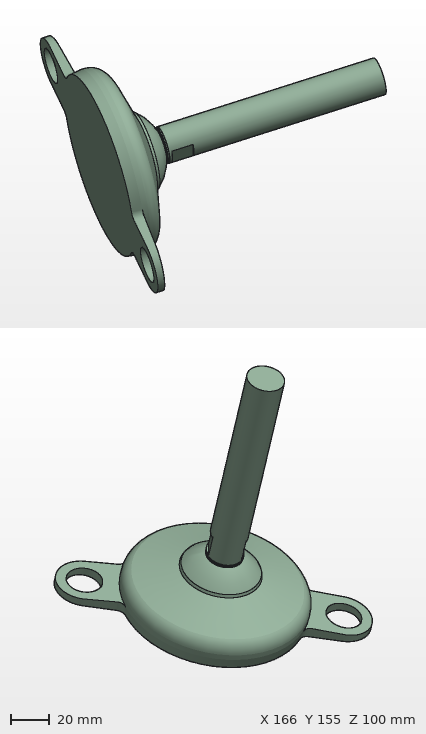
import cadquery as cq

base_radius = 49.1
rim_radius = 50.0
base_height = 5.8
rim_top = 9.0
shoulder_radius = 45.3
shoulder_height = 16.0
shoulder_bulge_radius = 48.5
shoulder_bulge_height = 13.1
cone_top_radius = 21.7
cone_top_height = 23.7
seat_radius = 21.0
seat_height = 25.4

overall_length = 166.0
ear_radius = 15.1
ear_hole_diameter = 19.0
ear_tip_height = 3.8
ear_root_fillet = 4.6
ear_center = overall_length / 2 - ear_radius

stem_radius = 10.0
stem_top = 155.0
ball_bulge_radius = 16.8
ball_bulge_height = 29.7
ball_top_radius = 9.5
ball_top_height = 33.7
lip_radius = 9.8
lip_bottom = 34.0
groove_radius = 9.5
groove_bottom = 34.5
groove_top = 35.4
flat_bottom = 36.9
flat_length = 11.8
flat_offset = 8.6


def make_base():
    """Tapered disc and ears with blended roots; the ear tops slope down to their tips."""
    disc = (
        cq.Workplane("XY")
        .lineTo(base_radius, 0)
        .lineTo(rim_radius, base_height)
        .lineTo(0, base_height)
        .close()
        .revolve(360, (0, 0), (0, 1))
    )
    ears = cq.Workplane("XZ").slot2D(overall_length, 2 * ear_radius).extrude(-base_height)
    root_region = cq.selectors.BoxSelector(
        (-rim_radius, 0, -2 * ear_radius),
        (rim_radius, base_height, 2 * ear_radius),
    )
    blended = disc.union(ears).edges(root_region).edges("not(#Y)").fillet(ear_root_fillet)
    side_outline = (
        cq.Workplane("XY")
        .polyline([
            (-overall_length / 2, 0),
            (overall_length / 2, 0),
            (overall_length / 2, ear_tip_height),
            (rim_radius, base_height),
            (-rim_radius, base_height),
            (-overall_length / 2, ear_tip_height),
        ])
        .close()
        .extrude(rim_radius, both=True)
    )
    holes = (
        cq.Workplane("XZ")
        .pushPoints([(-ear_center, 0), (ear_center, 0)])
        .circle(ear_hole_diameter / 2)
        .extrude(-base_height)
    )
    return blended.intersect(side_outline).cut(holes)


def make_cover():
    """Straight rim, rounded shoulder and cone up to the flat ball seat."""
    return (
        cq.Workplane("XY")
        .moveTo(0, base_height)
        .lineTo(rim_radius, base_height)
        .lineTo(rim_radius, rim_top)
        .threePointArc(
            (shoulder_bulge_radius, shoulder_bulge_height),
            (shoulder_radius, shoulder_height),
        )
        .lineTo(cone_top_radius, cone_top_height)
        .lineTo(seat_radius, seat_height)
        .lineTo(0, seat_height)
        .close()
        .revolve(360, (0, 0), (0, 1))
    )


def make_foot():
    return make_base().union(make_cover())


def make_stem():
    """Ball foot and shank turned in one piece, with two opposite wrench flats."""
    turned = (
        cq.Workplane("XY")
        .moveTo(0, seat_height)
        .lineTo(seat_radius, seat_height)
        .threePointArc(
            (ball_bulge_radius, ball_bulge_height),
            (ball_top_radius, ball_top_height),
        )
        .lineTo(lip_radius, lip_bottom)
        .lineTo(lip_radius, groove_bottom)
        .lineTo(groove_radius, groove_bottom)
        .lineTo(groove_radius, groove_top)
        .lineTo(stem_radius, groove_top)
        .lineTo(stem_radius, stem_top)
        .lineTo(0, stem_top)
        .close()
        .revolve(360, (0, 0), (0, 1))
    )
    for side in (-1, 1):
        flat_cutter = cq.Workplane("XY").box(
            stem_radius, flat_length, 2 * stem_radius
        ).translate((
            side * (flat_offset + stem_radius / 2),
            flat_bottom + flat_length / 2,
            0,
        ))
        turned = turned.cut(flat_cutter)
    return turned


foot = make_foot()
stem = make_stem()

result = cq.Compound.makeCompound([foot.val(), stem.val()])